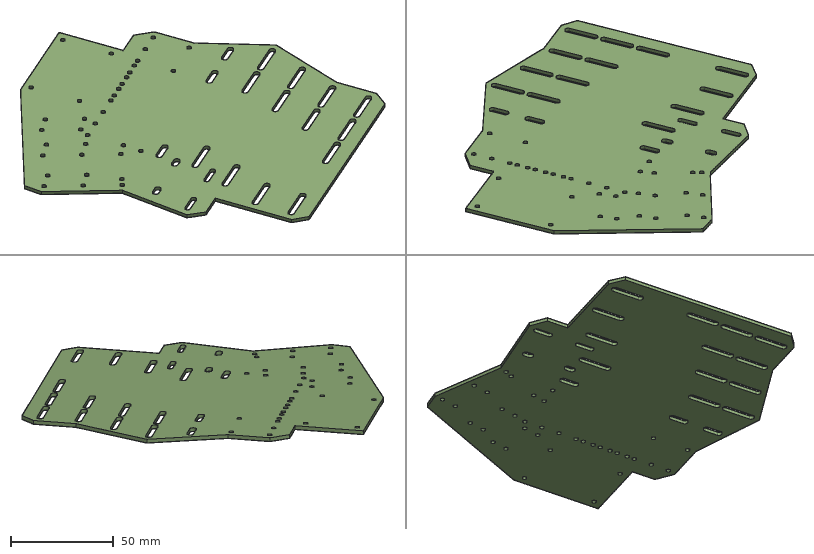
import cadquery as cq
import math

length = 167.1
width = 147.0
thickness = 2.0
right = length / 2
left = -right
top = width / 2
bottom = -top

pitch = 19.0
half_pitch = pitch / 2
grid_x = -40.0
grid_top = 54.8
lower_drop = 80.2
upper_series_count = 6
lower_series_count = 7
hole_diameter = 2.2
slot_width = 3.2
long_slot = 17.2
short_slot = 10.0

wing_hole_left = -79.5
wing_hole_right = -53.8
wing_hole_top = 35.6
wing_hole_bottom = -3.3

tilt = math.radians(25)
tilted_x = -63.5
tilted_y = -22.7
tilted_last_gap = 23.2
pair_shift_along = -2.0
pair_shift_down = 8.0

tab_group_x = -11.4
tab_group_top = -25.9
tab_row_gap = 23.2
tab_short_slot = 5.7
tab_long_slot_width = 2.7

wing_top = 40.1
wing_left_bottom = -7.0
step_x = -49.5
upper_left_edge = 59.0
upper_left_cut_x = 8.4
upper_left_cut_y = 6.4
left_slope_start = -20.0
right_slope_end = 55.5
upper_right_edge = 59.5
peak_x = grid_x + 3 * pitch
lower_right_edge = -44.3
right_cut_x = 6.9
right_cut_y = 5.5
tab_right = 36.1
tab_bottom = -61.3
tab_cut_x = 7.7
tab_cut_y = 5.7
wing_tip_x = -43.6
valley_x = -7.9
valley_y = bottom + (valley_x - wing_tip_x) * math.tan(tilt)
wing_corner_y = -72.7
wing_corner_x = left + (wing_left_bottom - wing_corner_y) * math.tan(tilt)

outline = [
    (left, wing_top),
    (step_x, wing_top),
    (step_x, upper_left_edge - upper_left_cut_y),
    (step_x + upper_left_cut_x, upper_left_edge),
    (left_slope_start, upper_left_edge),
    (peak_x, top),
    (right_slope_end, upper_right_edge),
    (right - right_cut_x, upper_right_edge),
    (right, upper_right_edge - right_cut_y),
    (right, lower_right_edge + right_cut_y),
    (right - right_cut_x, lower_right_edge),
    (tab_right, lower_right_edge),
    (tab_right, tab_bottom + tab_cut_y),
    (tab_right - tab_cut_x, tab_bottom),
    (valley_x, valley_y),
    (wing_tip_x, bottom),
    (wing_corner_x, wing_corner_y),
    (left, wing_left_bottom),
]


def grid_column(index):
    """X of a column of the main grid."""
    return grid_x + index * pitch


def tilted_point(along, down):
    """Point of the tilted grid, measured along its rows and down across them."""
    x = tilted_x + along * math.cos(tilt) + down * math.sin(tilt)
    y = tilted_y + along * math.sin(tilt) - down * math.cos(tilt)
    return (x, y)


def main_grid_holes():
    """Two interleaved half-pitch series in the first column, three holes in the second."""
    grid_bottom = grid_top - lower_drop
    points = [(grid_column(0), grid_top - i * half_pitch) for i in range(upper_series_count)]
    points += [(grid_column(0), grid_bottom + i * half_pitch) for i in range(lower_series_count)]
    points += [(grid_column(1), y) for y in (grid_top, grid_top - pitch, grid_bottom)]
    return points


def wing_holes():
    """Four holes at the corners of a rectangle in the left wing."""
    columns = (wing_hole_left, wing_hole_right)
    rows = (wing_hole_top, wing_hole_bottom)
    return [(x, y) for x in columns for y in rows]


def tilted_holes():
    """Two shifted groups of three rows; the second group has longer lower rows."""
    row_depths = (0, pitch, pitch + tilted_last_gap)
    second_group_counts = (2, 3, 3)
    points = []
    for depth, second_count in zip(row_depths, second_group_counts):
        for i in range(2):
            points.append(tilted_point(i * pitch, depth))
        for i in range(second_count):
            points.append(tilted_point(i * pitch + pair_shift_along, depth + pair_shift_down))
    return points


def slot_cutter(points, slot_length, slot_breadth):
    """Upright slots through the plate, centred on the points."""
    slots = cq.Workplane("XY").pushPoints(points).slot2D(slot_length, slot_breadth, 90)
    return slots.extrude(thickness, both=True)


slot_columns = [
    (2, 58.2, short_slot, 2),
    (3, 61.8, long_slot, 2),
    (4, grid_top, long_slot, 2),
    (5, 47.8, long_slot, 2),
    (6, 47.8, long_slot, 3),
]

tab_rows = (tab_group_top, tab_group_top - tab_row_gap)
tab_holes = [(tab_group_x, y) for y in tab_rows]

plate = cq.Workplane("XY").polyline(outline).close().extrude(thickness / 2, both=True)

hole_points = main_grid_holes() + wing_holes() + tilted_holes() + tab_holes
holes = cq.Workplane("XY").pushPoints(hole_points).circle(hole_diameter / 2)
plate = plate.cut(holes.extrude(thickness, both=True))

for index, first_y, slot_length, upper_count in slot_columns:
    centres_y = [first_y - i * pitch for i in range(upper_count)] + [first_y - lower_drop]
    centres = [(grid_column(index), y) for y in centres_y]
    plate = plate.cut(slot_cutter(centres, slot_length, slot_width))

tab_slots = [(1, tab_short_slot, slot_width), (2, short_slot, tab_long_slot_width)]
for index, slot_length, slot_breadth in tab_slots:
    half_travel = (slot_length - slot_breadth) / 2
    centres = [(tab_group_x + index * pitch, y - half_travel) for y in tab_rows]
    plate = plate.cut(slot_cutter(centres, slot_length, slot_breadth))

result = plate